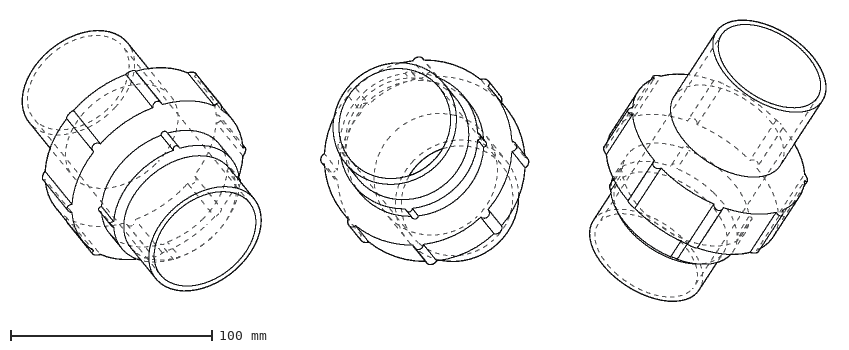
import cadquery as cq

length = 137.0
pipe_radius = 63.0 / 2
bore_radius = 57.0 / 2

nut_start = 47.0
nut_face_start = 56.5
nut_face_end = 85.6
nut_radius = 48.0
nut_rib_tip = 50.0
nut_rib_radius = 2.7
nut_rib_count = 8

collar_face_end = 106.2
collar_radius = 35.2
collar_rib_tip = 36.5
collar_rib_radius = 1.9
collar_rib_count = 4

nut_slope = (nut_radius - pipe_radius) / (nut_face_start - nut_start)
collar_face_start = nut_face_end + (nut_radius - collar_radius) / nut_slope
collar_end = collar_face_end + collar_radius - pipe_radius


def revolved(profile):
    """Revolve a closed (x, radius) profile around the X axis."""
    return cq.Workplane("XY").polyline(profile).close().revolve(360, (0, 0, 0), (1, 0, 0))


def ribs(count, tip, radius, start, end):
    """Round bars parallel to X, evenly spaced around the axis."""
    return (
        cq.Workplane("YZ", origin=(start, 0, 0))
        .polarArray(tip - radius, 0, 360, count)
        .circle(radius)
        .extrude(end - start)
    )


body = revolved([
    (0, 0),
    (0, pipe_radius),
    (nut_start, pipe_radius),
    (nut_face_start, nut_radius),
    (nut_face_end, nut_radius),
    (collar_face_start, collar_radius),
    (collar_face_end, collar_radius),
    (collar_end, pipe_radius),
    (length, pipe_radius),
    (length, 0),
])

nut_cone_rise = nut_rib_tip - pipe_radius
nut_cone_end = nut_face_end + (nut_radius - pipe_radius) / nut_slope
nut_envelope = revolved([
    (nut_start, 0),
    (nut_start, pipe_radius),
    (nut_start + nut_cone_rise / nut_slope, nut_rib_tip),
    (nut_cone_end - nut_cone_rise / nut_slope, nut_rib_tip),
    (nut_cone_end, pipe_radius),
    (nut_cone_end, 0),
])
nut_ribs = ribs(nut_rib_count, nut_rib_tip, nut_rib_radius, nut_face_start, nut_face_end)
nut_ribs = nut_ribs.intersect(nut_envelope)

collar_envelope = revolved([
    (nut_face_end, 0),
    (nut_face_end, collar_rib_tip),
    (collar_end - (collar_rib_tip - pipe_radius), collar_rib_tip),
    (collar_end, pipe_radius),
    (collar_end, 0),
])
collar_ribs = ribs(collar_rib_count, collar_rib_tip, collar_rib_radius, nut_face_end, collar_face_end)
collar_ribs = collar_ribs.intersect(collar_envelope)

bore = cq.Workplane("YZ").circle(bore_radius).extrude(length)

result = body.union(nut_ribs).union(collar_ribs).cut(bore)